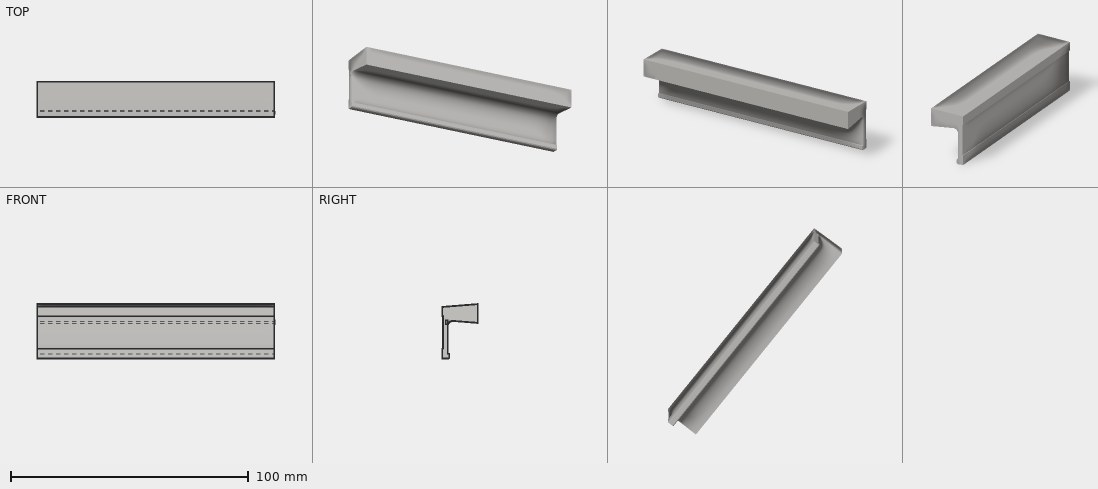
import cadquery as cq

total_length = 100.0
depth = 15.0
height = 23.0

pad_projection = 0.2
pad_front = 1.5
pad_width = 0.8
pad_bottom = 14.4
pad_height = 1.8
body_length = total_length - pad_projection

head_back_height = 8.0
top_drop = 1.2
underside_rise = 1.0
inner_radius = 2.0

recess_depth = 0.3
recess_bottom = 4.2
recess_top = 17.9
wall_back = 2.4

foot_back = 3.0
foot_height = 2.1
foot_chamfer = 0.4

underside_back = height - head_back_height
underside_front = underside_back + underside_rise


def make_body():
    """Extrude the L-shaped handle profile along X, with its front at Y = 0."""
    profile = [
        (0, 0),
        (0, recess_bottom),
        (recess_depth, recess_bottom),
        (recess_depth, recess_top),
        (0, recess_top),
        (0, height - top_drop),
        (depth, height),
        (depth, underside_back),
        (wall_back, underside_front),
        (wall_back, foot_height),
        (foot_back, foot_height),
        (foot_back, foot_chamfer),
        (foot_back - foot_chamfer, 0),
    ]
    body = cq.Workplane("YZ").polyline(profile).close().extrude(body_length)
    inner_corner = cq.selectors.NearestToPointSelector((body_length / 2, wall_back, underside_front))
    return body.edges("|X").edges(inner_corner).fillet(inner_radius)


def make_end_pad():
    """Rectangular pad on the +X end of the wall."""
    return cq.Workplane("XY").box(pad_projection, pad_width, pad_height, centered=False).translate(
        (body_length, pad_front, pad_bottom)
    )


result = make_body().union(make_end_pad())